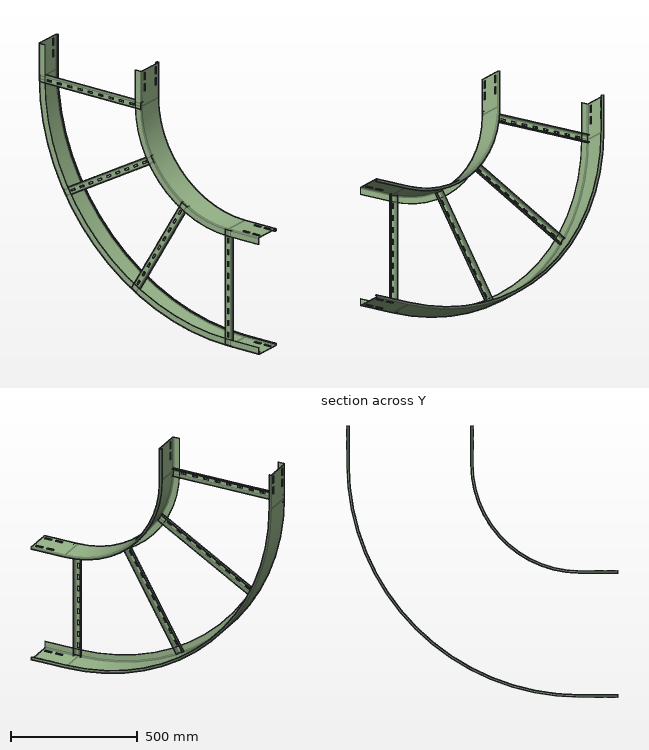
import cadquery as cq
import math

overall_size = 1070.0
straight_length = 150.0
rail_spacing = 500.0
rail_depth = 120.0

sheet = 1.6
inner_bend = 2.7
outer_bend = inner_bend + sheet
front_flange = 30.0
back_flange = 11.0
return_lip = 10.0

rail_slots_per_row = 2
rail_slot_length = 30.0
rail_slot_width = 8.0
rail_slot_end_offset = 27.0
rail_slot_pitch = 48.0
rail_slot_row_spacing = 75.0

rung_angles = [0, 30, 60, 90]
rung_width = 32.0
rung_depth = 15.0
rung_end_gap = inner_bend
rung_slot_count = 9
rung_slot_length = 20.0
rung_slot_width = 6.0
rung_slot_pitch = 50.0

cutter_height = 4 * sheet

outer_radius = overall_size - straight_length
inner_radius = outer_radius - rail_spacing
centre = outer_radius


def sheet_section(points, outer_corners, inner_corners):
    """Closed sheet-metal outline in the XY plane, with rounded bends at the given corner indices."""
    corners = [cq.Vector(x, y, 0) for x, y in points]
    face = cq.Face.makeFromWires(cq.Wire.makePolygon(corners, close=True))
    for indices, radius in ((outer_corners, outer_bend), (inner_corners, inner_bend)):
        bends = [min(face.Vertices(), key=lambda v: (v.Center() - corners[i]).Length) for i in indices]
        face = face.fillet2D(radius, bends)
    return face.outerWire()


def rail_section(inward):
    """Rail section with the web's outer face on X = 0; `inward` is the X direction of the flanges."""
    outline = [
        (front_flange, 0),
        (0, 0),
        (0, rail_depth),
        (back_flange, rail_depth),
        (back_flange, rail_depth - return_lip),
        (back_flange - sheet, rail_depth - return_lip),
        (back_flange - sheet, rail_depth - sheet),
        (sheet, rail_depth - sheet),
        (sheet, sheet),
        (front_flange, sheet),
    ]
    points = [(inward * x, y) for x, y in outline]
    return sheet_section(points, outer_corners=[1, 2, 3], inner_corners=[6, 7, 8])


def rail_slots(web_radius):
    """Cutters for the fixing slots through both straight ends of a rail."""
    web = centre - web_radius
    slots = []
    for row in (-1, 1):
        y = rail_depth / 2 + row * rail_slot_row_spacing / 2
        for i in range(rail_slots_per_row):
            along = overall_size - rail_slot_end_offset - i * rail_slot_pitch
            upright = cq.Workplane().box(cutter_height, rail_slot_width, rail_slot_length)
            level = cq.Workplane().box(rail_slot_length, rail_slot_width, cutter_height)
            slots.append(upright.translate((web, y, along)).val())
            slots.append(level.translate((along, y, web)).val())
    return slots


def make_rail(web_radius, inward):
    """Slotted rail swept along a straight, a quarter circle and another straight."""
    web = centre - web_radius
    arc_middle = centre - web_radius * math.sqrt(0.5)
    path = (
        cq.Workplane("XZ")
        .moveTo(web, overall_size)
        .lineTo(web, centre)
        .threePointArc((arc_middle, arc_middle), (centre, web))
        .lineTo(overall_size, web)
        .wire()
        .val()
    )
    section = rail_section(inward).moved(cq.Location(cq.Vector(web, 0, overall_size)))
    return cq.Solid.sweep(section, [], path).cut(*rail_slots(web_radius))


def make_rung(angle):
    """U-shaped rung lying on the front flanges, turned about the bend centre."""
    inner_end = inner_radius + sheet + rung_end_gap
    outer_end = outer_radius - sheet - rung_end_gap
    half = rung_width / 2
    outline = [
        (-half, rung_depth),
        (-half, 0),
        (half, 0),
        (half, rung_depth),
        (half - sheet, rung_depth),
        (half - sheet, sheet),
        (sheet - half, sheet),
        (sheet - half, rung_depth),
    ]
    section = sheet_section(outline, outer_corners=[1, 2], inner_corners=[5, 6])
    rung = cq.Workplane(cq.Solid.extrudeLinear(section, [], cq.Vector(0, 0, outer_end - inner_end)))
    rung = rung.rotate((0, 0, 0), (0, 1, 0), -90).translate((-inner_end, sheet, 0))

    slot_middle = -(inner_radius + outer_radius) / 2
    for i in range(rung_slot_count):
        x = slot_middle + (i - (rung_slot_count - 1) / 2) * rung_slot_pitch
        slot = cq.Workplane().box(rung_slot_length, cutter_height, rung_slot_width)
        rung = rung.cut(slot.translate((x, sheet, 0)))

    return rung.rotate((0, 0, 0), (0, 1, 0), -angle).translate((centre, 0, centre)).val()


outer_rail = make_rail(outer_radius, inward=1)
inner_rail = make_rail(inner_radius, inward=-1)
rungs = [make_rung(angle) for angle in rung_angles]

result = cq.Compound.makeCompound([outer_rail, inner_rail, *rungs])